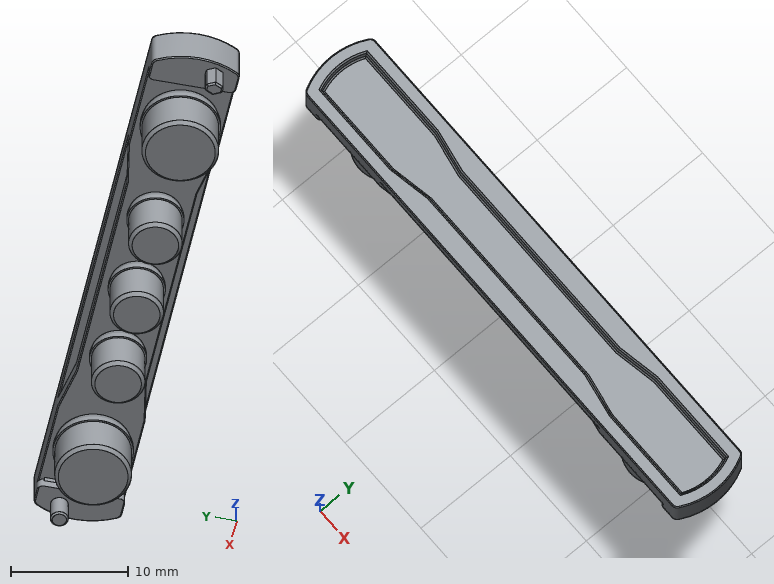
import cadquery as cq
import math

LENGTH = 50.8
WIDTH = 7.6
BAR_THICKNESS = 2.55
CORNER_X = 24.35
CORNER_RADIUS = 0.6
EDGE_CHAMFER = 0.1

FOOT_BOTTOM = 3.5
FOOT_INNER_X = 22.35
FOOT_CORNER_RADIUS = 0.5
FOOT_ROOT_BEVEL = 0.2

WAIST_OUTER_X = 14.45
WAIST_INNER_X = 10.35
WAIST_DEPTH = 0.75
RECESS_TOP = 1.4

SIDE_RIM = 1.1
END_RIM = 1.0
POCKET_DEPTH = 0.7
POCKET_EDGE = 0.15
POCKET_DRAFT = 0.1

PLUG_BOTTOM = 7.05
PLUG_ROOT = 1.5
PLUG_CHAMFER = 0.3
LIP_OVERHANG = 0.15
LIP_TOP = 3.1
LIP_BOTTOM = 3.55
LARGE_PLUG_DIAMETER = 6.55
SMALL_PLUG_DIAMETER = 4.55
LARGE_PLUG_X = 17.85
SMALL_PLUG_PITCH = 7.6

PIN_DIAMETER = 1.5
PIN_BOTTOM = 5.65
PIN_CHAMFER = 0.15
PIN_X = 24.05
PIN_Y = 1.65
DIAMOND_WIDTH = 1.35
DIAMOND_LAND = 0.65

end_bow = LENGTH / 2 - CORNER_X
end_radius = ((WIDTH / 2) ** 2 + end_bow ** 2) / (2 * end_bow)


def outline_block(thickness):
    """Full outline with rounded corners, extruded down from the top face."""
    half_width = WIDTH / 2
    return (
        cq.Workplane("XY")
        .moveTo(-CORNER_X, -half_width)
        .lineTo(CORNER_X, -half_width)
        .threePointArc((LENGTH / 2, 0), (CORNER_X, half_width))
        .lineTo(-CORNER_X, half_width)
        .threePointArc((-LENGTH / 2, 0), (-CORNER_X, -half_width))
        .close()
        .extrude(-thickness)
        .edges("|Z")
        .fillet(CORNER_RADIUS)
    )


def side_recess(side):
    """Shallow recess with slanted ends, low on one long side (side is -1 or 1)."""
    outer_y = side * WIDTH / 2
    inner_y = outer_y - side * WAIST_DEPTH
    return (
        cq.Workplane("XY", origin=(0, 0, -RECESS_TOP))
        .polyline([
            (-WAIST_OUTER_X, outer_y),
            (-WAIST_INNER_X, inner_y),
            (WAIST_INNER_X, inner_y),
            (WAIST_OUTER_X, outer_y),
        ])
        .close()
        .extrude(RECESS_TOP - FOOT_BOTTOM)
    )


def bar():
    """Bar with both side recesses and all its outer edges bevelled."""
    blank = outline_block(BAR_THICKNESS)
    blank = blank.faces(">Z").edges().chamfer(EDGE_CHAMFER)
    for side in (-1, 1):
        blank = blank.cut(side_recess(side))
    blank = blank.faces("<Z").edges().chamfer(EDGE_CHAMFER)
    for side in (-1, 1):
        ceiling_edge = cq.selectors.NearestToPointSelector((0, side * WIDTH / 2, -RECESS_TOP))
        blank = blank.edges(ceiling_edge).chamfer(EDGE_CHAMFER)
    return blank


def feet():
    """Both ends at full height, with their inner vertical corners rounded."""
    block = outline_block(FOOT_BOTTOM).faces("<Z or >Z").edges().chamfer(EDGE_CHAMFER)
    gap = cq.Workplane("XY").box(2 * FOOT_INNER_X, 2 * WIDTH, 2 * FOOT_BOTTOM)
    ends = block.cut(gap)
    for side in (-1, 1):
        inner_face = cq.selectors.NearestToPointSelector((side * FOOT_INNER_X, 0, -FOOT_BOTTOM / 2))
        ends = ends.faces(inner_face).edges("|Z").fillet(FOOT_CORNER_RADIUS)
    return ends


def foot_roots():
    """Small bevel filling the inner corner where each foot meets the underside of the bar."""
    root_width = WIDTH - 2 * FOOT_CORNER_RADIUS
    right_root = (
        cq.Workplane("XZ")
        .polyline([
            (FOOT_INNER_X, -BAR_THICKNESS),
            (FOOT_INNER_X - FOOT_ROOT_BEVEL, -BAR_THICKNESS),
            (FOOT_INNER_X, -BAR_THICKNESS - FOOT_ROOT_BEVEL),
        ])
        .close()
        .extrude(root_width / 2, both=True)
    )
    return right_root.union(right_root.mirror("YZ"))


def pocket_layer(inset, top, height, lean):
    """Slice of the pocket starting at depth top, its walls leaning in by lean over height."""
    def outline(offset):
        half_width = WIDTH / 2 - SIDE_RIM - offset
        waist_half_width = half_width - WAIST_DEPTH
        arc_radius = end_radius - END_RIM - offset
        tip_x = LENGTH / 2 - END_RIM - offset
        corner_x = tip_x - arc_radius + math.sqrt(arc_radius ** 2 - half_width ** 2)
        return (
            cq.Workplane("XY")
            .moveTo(-corner_x, -half_width)
            .lineTo(-WAIST_OUTER_X, -half_width)
            .lineTo(-WAIST_INNER_X, -waist_half_width)
            .lineTo(WAIST_INNER_X, -waist_half_width)
            .lineTo(WAIST_OUTER_X, -half_width)
            .lineTo(corner_x, -half_width)
            .threePointArc((tip_x, 0), (corner_x, half_width))
            .lineTo(WAIST_OUTER_X, half_width)
            .lineTo(WAIST_INNER_X, waist_half_width)
            .lineTo(-WAIST_INNER_X, waist_half_width)
            .lineTo(-WAIST_OUTER_X, half_width)
            .lineTo(-corner_x, half_width)
            .threePointArc((-tip_x, 0), (-corner_x, -half_width))
            .close()
            .wires()
            .val()
        )

    upper = outline(inset).translate(cq.Vector(0, 0, -top))
    lower = outline(inset + lean).translate(cq.Vector(0, 0, -top - height))
    return cq.Workplane(cq.Solid.makeLoft([upper, lower], True))


def pocket():
    """Waisted pocket with a bevelled mouth, leaning walls and a bevelled floor edge."""
    wall_height = POCKET_DEPTH - 2 * POCKET_EDGE
    mouth = pocket_layer(0, 0, POCKET_EDGE, POCKET_EDGE)
    wall = pocket_layer(POCKET_EDGE, POCKET_EDGE, wall_height, POCKET_DRAFT)
    floor_bevel = pocket_layer(
        POCKET_EDGE + POCKET_DRAFT, POCKET_EDGE + wall_height, POCKET_EDGE, POCKET_EDGE
    )
    return mouth.union(wall).union(floor_bevel)


def plug(x, diameter):
    """Turned plug with a flared lip near the bar and a chamfered end."""
    radius = diameter / 2
    return (
        cq.Workplane("XZ")
        .polyline([
            (0, -PLUG_ROOT),
            (radius, -PLUG_ROOT),
            (radius, -BAR_THICKNESS),
            (radius + LIP_OVERHANG, -LIP_TOP),
            (radius + LIP_OVERHANG, -LIP_BOTTOM),
            (radius, -LIP_BOTTOM),
            (radius, PLUG_CHAMFER - PLUG_BOTTOM),
            (radius - PLUG_CHAMFER, -PLUG_BOTTOM),
            (0, -PLUG_BOTTOM),
        ])
        .close()
        .revolve(360, (0, 0), (0, 1))
        .translate((x, 0, 0))
    )


def round_pin():
    """Round locating pin under the +X end."""
    return (
        cq.Workplane("XY", origin=(PIN_X, PIN_Y, -FOOT_BOTTOM))
        .circle(PIN_DIAMETER / 2)
        .extrude(FOOT_BOTTOM - PIN_BOTTOM)
        .faces("<Z")
        .chamfer(PIN_CHAMFER)
    )


def diamond_pin():
    """Relieved locating pin under the -X end, with rounded lands facing -Y and +Y."""
    half_land = DIAMOND_LAND / 2
    radius = PIN_DIAMETER / 2
    land_y = math.sqrt(radius ** 2 - half_land ** 2)
    return (
        cq.Workplane("XY", origin=(-PIN_X, -PIN_Y, -FOOT_BOTTOM))
        .moveTo(-DIAMOND_WIDTH / 2, 0)
        .lineTo(-half_land, -land_y)
        .threePointArc((0, -radius), (half_land, -land_y))
        .lineTo(DIAMOND_WIDTH / 2, 0)
        .lineTo(half_land, land_y)
        .threePointArc((0, radius), (-half_land, land_y))
        .close()
        .extrude(FOOT_BOTTOM - PIN_BOTTOM)
        .faces("<Z")
        .chamfer(PIN_CHAMFER)
    )


body = bar().union(feet()).union(foot_roots())
body = body.cut(pocket())

for x in (-LARGE_PLUG_X, LARGE_PLUG_X):
    body = body.union(plug(x, LARGE_PLUG_DIAMETER))
for x in (-SMALL_PLUG_PITCH, 0, SMALL_PLUG_PITCH):
    body = body.union(plug(x, SMALL_PLUG_DIAMETER))

result = body.union(round_pin()).union(diamond_pin())